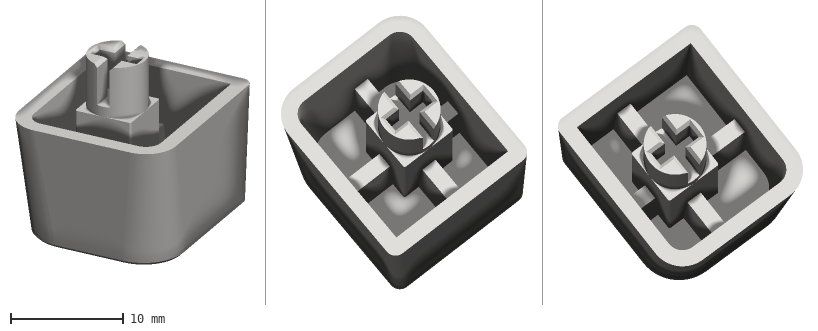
import cadquery as cq
import math

rim_width = 15.75
rim_length = 18.0
cap_height = 12.0
wall = 1.5
floor_z = 2.0
bottom_chamfer = 0.32
chamfer_top_width = 14.78
chamfer_top_front_inset = 1.44
back_radius = 1.0
rim_front_radius = 3.0
chamfer_top_front_radius = 4.0
pocket_floor_width = 11.85
pocket_floor_front_inset = 1.25
pocket_rim_radius = rim_front_radius - wall
pocket_floor_radius = chamfer_top_front_radius - wall

rib_height = 4.5
rib_top_z = floor_z + rib_height
rib_top_width = 1.5
rib_base_width = 2.34

stem_x = -1.12
block_side = 5.6
block_corner_radius = 0.2
block_top_z = 11.5
stem_top_z = 16.5
post_diameter = block_side
socket_depth = 4.0
socket_chamfer = 0.32
through_slot_width = 1.26
cross_slot_width = 1.37
cross_slot_length = 4.27


def cup_outline(width, front_y, back_y, front_radius, rear_radius, z):
    """Closed outline at height z with rounded front corners and optionally rounded rear corners."""
    half = width / 2
    diagonal = 1 - math.sqrt(0.5)
    front_mid = front_radius * diagonal
    rear_mid = rear_radius * diagonal
    outline = (
        cq.Workplane("XY", origin=(0, 0, z))
        .moveTo(-half + front_radius, front_y)
        .lineTo(half - front_radius, front_y)
        .threePointArc((half - front_mid, front_y + front_mid), (half, front_y + front_radius))
        .lineTo(half, back_y - rear_radius)
    )
    if rear_radius > 0:
        outline = outline.threePointArc((half - rear_mid, back_y - rear_mid), (half - rear_radius, back_y))
    outline = outline.lineTo(-half + rear_radius, back_y)
    if rear_radius > 0:
        outline = outline.threePointArc((-half + rear_mid, back_y - rear_mid), (-half, back_y - rear_radius))
    outline = (
        outline.lineTo(-half, front_y + front_radius)
        .threePointArc((-half + front_mid, front_y + front_mid), (-half + front_radius, front_y))
        .close()
    )
    return outline.val()


def ruled_solid(lower, upper):
    return cq.Workplane(cq.Solid.makeLoft([lower, upper], True))


def make_cap_outside():
    front_y = -rim_length / 2
    back_y = rim_length / 2
    chamfer_front_y = front_y + chamfer_top_front_inset
    bottom = cup_outline(
        chamfer_top_width - 2 * bottom_chamfer,
        chamfer_front_y + bottom_chamfer,
        back_y - bottom_chamfer,
        chamfer_top_front_radius - bottom_chamfer,
        back_radius - bottom_chamfer,
        0,
    )
    chamfer_top = cup_outline(
        chamfer_top_width, chamfer_front_y, back_y, chamfer_top_front_radius, back_radius, bottom_chamfer
    )
    rim = cup_outline(rim_width, front_y, back_y, rim_front_radius, back_radius, cap_height)
    return ruled_solid(bottom, chamfer_top).union(ruled_solid(chamfer_top, rim))


def make_pocket():
    front_y = -rim_length / 2 + wall
    back_y = rim_length / 2 - wall
    pocket_floor = cup_outline(
        pocket_floor_width, front_y + pocket_floor_front_inset, back_y, pocket_floor_radius, 0, floor_z
    )
    rim = cup_outline(rim_width - 2 * wall, front_y, back_y, pocket_rim_radius, 0, cap_height)
    return ruled_solid(pocket_floor, rim)


def make_rib(plane, center, length):
    """Trapezoidal bar standing on the pocket floor, centred on the origin along its length."""
    return (
        cq.Workplane(plane)
        .moveTo(center - rib_base_width / 2, floor_z)
        .lineTo(center + rib_base_width / 2, floor_z)
        .lineTo(center + rib_top_width / 2, rib_top_z)
        .lineTo(center - rib_top_width / 2, rib_top_z)
        .close()
        .extrude(length / 2, both=True)
    )


def make_block():
    return (
        cq.Workplane("XY", origin=(stem_x, 0, floor_z))
        .rect(block_side, block_side)
        .extrude(block_top_z - floor_z)
        .edges("|Z")
        .fillet(block_corner_radius)
    )


def make_socket_slot(size_x, size_y):
    """Rectangular slot that flares at 45 degrees where it meets the top of the post."""
    slot = (
        cq.Workplane("XY", origin=(stem_x, 0, stem_top_z - socket_depth))
        .rect(size_x, size_y)
        .extrude(socket_depth)
    )
    flare = (
        cq.Workplane("XY", origin=(stem_x, 0, stem_top_z - socket_chamfer))
        .rect(size_x, size_y)
        .workplane(offset=socket_chamfer)
        .rect(size_x + 2 * socket_chamfer, size_y + 2 * socket_chamfer)
        .loft(ruled=True)
    )
    return slot.union(flare)


def make_cap():
    pocket = make_pocket()
    ribs = make_rib("XZ", stem_x, rim_length).union(make_rib("YZ", 0, rim_width))
    ribs = ribs.intersect(pocket).cut(make_block())
    return make_cap_outside().cut(pocket).union(ribs)


def make_stem():
    post = (
        cq.Workplane("XY", origin=(stem_x, 0, block_top_z))
        .circle(post_diameter / 2)
        .extrude(stem_top_z - block_top_z)
    )
    through_slot = make_socket_slot(through_slot_width, 2 * post_diameter)
    cross_slot = make_socket_slot(cross_slot_length, cross_slot_width)
    return make_block().union(post).cut(through_slot).cut(cross_slot)


cap = make_cap()
stem = make_stem()
result = cq.Compound.makeCompound([*cap.solids().vals(), *stem.solids().vals()])